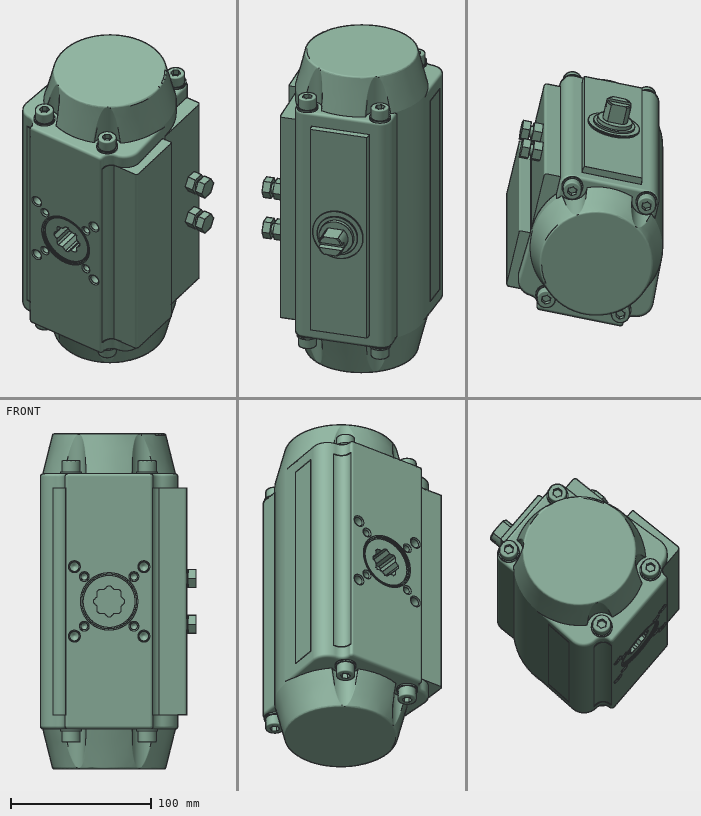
import cadquery as cq
import math


total_half_height = 119.5
cap_plate_top_z = 91.0
body_half_height = 80.9
bolt_washer_thickness = 1.3
bolt_head_height = 8.0
bolt_head_fillet = 0.8

cylinder_radius = 47.3
upper_half_width = 36.0
upper_y = 50.7
upper_corner_radius = 8.3
lower_half_width = 48.99
lower_corner_radius = 12.0
lower_corner_bottom_y = -46.9
base_half_width = 31.4
groove_radius = 7.0
body_groove_radius = 7.5
base_y = -56.3
base_edge_radius = 2.2
plate_edge_radius = 2.1

dome_top_radius = 40.2
dome_edge_radius = 1.5
bolt_x = 27.1
bolt_y = 43.1
bolt_pocket_radius = 10.6
pocket_edge_radius = 0.8
bolt_washer_diameter = 15.0
bolt_head_diameter = 13.0
bolt_socket_flats = 6.0
bolt_socket_depth = 4.0

pad_top_y = 55.7
pad_half_width = 21.6
pad_chamfer_width = 0.7
pad_chamfer_height = 2.2
shaft_top_y = 75.9
shaft_diameter = 18.0
shaft_flats = 14.0
shaft_chamfer = 0.8
shaft_slot_width = 4.0
shaft_slot_depth = 4.8
collars = [(35.5, 56.8), (37.5, 57.9), (30.0, 59.2), (25.2, 62.0)]

port_box_x = 47.6
port_box_top_y = 44.2
port_box_radius = 2.0
connection_box_x = 55.5
connection_box_top_y = -3.0
connection_box_radius = 2.0
connection_top_radius = 1.0

stop_screw_y = 32.8
stop_screw_z = 16.3
stop_screw_diameter = 8.0
stop_screw_flats = 13.0
stop_nut_end_x = 53.9
stop_head_start_x = 56.3
stop_head_end_x = 62.0

recess_steps = [(41.0, 0.6), (39.0, 1.1), (37.0, 1.7)]
star_square = 17.0
star_tip_diameter = 22.2
star_depth = 20.0
large_bolt_circle = 70.0
large_hole_diameter = 6.8
large_hole_mouth = 8.5
large_hole_depth = 12.0
small_bolt_circle = 50.0
small_hole_diameter = 5.0
small_hole_mouth = 7.0
small_hole_depth = 10.0
drill_tip_angle = 118.0

label_top_y = -10.8
label_bottom_y = -30.7
label_depth = 0.2

lower_corner_x = lower_half_width - lower_corner_radius
lower_corner_y = lower_corner_bottom_y + lower_corner_radius
groove_x = base_half_width + groove_radius
arc_lean = math.asin((groove_x - lower_corner_x) / (lower_corner_radius + groove_radius))
groove_y = lower_corner_y - (lower_corner_radius + groove_radius) * math.cos(arc_lean)
arc_meeting_x = lower_corner_x + lower_corner_radius * math.sin(arc_lean)
arc_meeting_y = lower_corner_y - lower_corner_radius * math.cos(arc_lean)


def wall_tangent_angle():
    """Angle below the X axis at which the lower side wall leaves the cylinder tangentially."""
    corner_distance = math.hypot(lower_half_width, lower_corner_y)
    corner_angle = math.atan2(-lower_corner_y, lower_half_width)
    return corner_angle - math.acos(cylinder_radius / corner_distance)


def lower_half_profile():
    """Right half of the section below the cylinder axis."""
    angle = wall_tangent_angle()
    tangent_x = cylinder_radius * math.cos(angle)
    tangent_y = -cylinder_radius * math.sin(angle)
    diagonal = math.sqrt(0.5)
    return (
        cq.Workplane("XY")
        .moveTo(0, tangent_y)
        .lineTo(tangent_x, tangent_y)
        .lineTo(lower_half_width, lower_corner_y)
        .threePointArc(
            (
                lower_corner_x + lower_corner_radius * diagonal,
                lower_corner_y - lower_corner_radius * diagonal,
            ),
            (arc_meeting_x, arc_meeting_y),
        )
        .threePointArc(
            (groove_x - groove_radius * diagonal, groove_y + groove_radius * diagonal),
            (base_half_width, groove_y),
        )
        .lineTo(base_half_width, base_y)
        .lineTo(0, base_y)
        .close()
    )


def y_cylinder(diameter, y_from, y_to):
    """Cylinder on the pinion axis between two Y positions."""
    return cq.Workplane("XZ", origin=(0, y_from, 0)).circle(diameter / 2).extrude(y_from - y_to)


def make_housing():
    """Cylinder, upper block and lower block; only the parts outside the cylinder show rounded ends."""
    half = lower_half_profile().extrude(cap_plate_top_z, both=True)
    lower = half.union(half.mirror("YZ")).clean().edges("|Z and <Y").fillet(base_edge_radius)
    upper = (
        cq.Workplane("XY")
        .center(0, upper_y / 2)
        .rect(2 * upper_half_width, upper_y)
        .extrude(cap_plate_top_z, both=True)
        .edges("|Z and >Y")
        .fillet(upper_corner_radius)
    )
    housing = cq.Workplane("XY").circle(cylinder_radius).extrude(cap_plate_top_z, both=True)
    for block in (lower, upper):
        housing = housing.union(block.faces("<Z or >Z").edges().fillet(plate_edge_radius))
    return housing


def make_body_grooves():
    """Slight widening of the two lower corner grooves along the body between the cap plates."""
    groove = (
        cq.Workplane("XY", origin=(groove_x, groove_y, 0))
        .circle(body_groove_radius)
        .extrude(body_half_height, both=True)
    )
    return groove.union(groove.mirror("YZ"))


def make_dome():
    """Conical dome on the +Z cap plate, with a scooped pocket beside each bolt."""
    height = total_half_height - cap_plate_top_z
    dome = (
        cq.Workplane("XZ")
        .lineTo(cylinder_radius, 0)
        .lineTo(dome_top_radius, height)
        .lineTo(0, height)
        .close()
        .revolve(360, (0, 0, 0), (0, 1, 0))
        .faces(">Z")
        .edges()
        .fillet(dome_edge_radius)
    )
    pockets = at_bolts(cq.Workplane("XY").circle(bolt_pocket_radius).extrude(height))
    dome = dome.cut(pockets)
    dome = dome.faces("%CONE").edges("%BSPLINE").fillet(pocket_edge_radius)
    return dome.translate((0, 0, cap_plate_top_z))


def at_bolts(shape):
    """Copies of a shape at the four bolt positions, as one workplane."""
    copies = cq.Workplane("XY")
    for x in (-bolt_x, bolt_x):
        for y in (-bolt_y, bolt_y):
            copies = copies.union(shape.translate((x, y, 0)))
    return copies


def across_corners(flats):
    return flats / math.cos(math.pi / 6)


def make_cap_bolt():
    """Socket-head bolt with its washer, standing on Z = 0."""
    washer = cq.Workplane("XY").circle(bolt_washer_diameter / 2).extrude(bolt_washer_thickness)
    top_z = bolt_washer_thickness + bolt_head_height
    head = cq.Workplane("XY").circle(bolt_head_diameter / 2).extrude(top_z)
    head = head.faces(">Z").edges().fillet(bolt_head_fillet)
    socket = (
        cq.Workplane("XY", origin=(0, 0, top_z))
        .polygon(6, across_corners(bolt_socket_flats))
        .extrude(-bolt_socket_depth)
        .rotate((0, 0, 0), (0, 0, 1), 30)
    )
    return washer.union(head).cut(socket)


def make_pad():
    """Mounting pad on the +Y side with narrow chamfers along its long edges."""
    return (
        cq.Workplane("XY")
        .moveTo(-pad_half_width, 0)
        .lineTo(-pad_half_width, pad_top_y - pad_chamfer_height)
        .lineTo(-pad_half_width + pad_chamfer_width, pad_top_y)
        .lineTo(pad_half_width - pad_chamfer_width, pad_top_y)
        .lineTo(pad_half_width, pad_top_y - pad_chamfer_height)
        .lineTo(pad_half_width, 0)
        .close()
        .extrude(body_half_height, both=True)
    )


def make_side_boxes():
    """Port box and the larger connection box on the +X side."""
    port_box = (
        cq.Workplane("XY")
        .center(port_box_x / 2, port_box_top_y / 2)
        .rect(port_box_x, port_box_top_y)
        .extrude(body_half_height, both=True)
        .edges("|Z and >X and >Y")
        .fillet(port_box_radius)
    )
    height = connection_box_top_y - lower_corner_bottom_y
    connection_box = (
        cq.Workplane("XY")
        .center(connection_box_x / 2, lower_corner_bottom_y + height / 2)
        .rect(connection_box_x, height)
        .extrude(body_half_height, both=True)
    )
    connection_box = connection_box.edges("|Z and >X and <Y").fillet(connection_box_radius)
    connection_box = connection_box.edges("|Z and >X and >Y").fillet(connection_top_radius)
    return port_box.union(connection_box)


def make_pinion():
    """Stepped collars and the flatted, slotted shaft end above the pad."""
    pinion = y_cylinder(shaft_diameter, 0, shaft_top_y).faces(">Y").edges().chamfer(shaft_chamfer)
    flats = cq.Workplane("XY").box(shaft_diameter, 2 * shaft_top_y, shaft_flats)
    slot = cq.Workplane("XY").box(shaft_diameter, 2 * shaft_slot_depth, shaft_slot_width)
    pinion = pinion.intersect(flats).cut(slot.translate((0, shaft_top_y, 0)))
    collar_base_y = 0
    for diameter, collar_top_y in collars:
        pinion = pinion.union(y_cylinder(diameter, collar_base_y, collar_top_y))
        collar_base_y = collar_top_y
    return pinion


def make_stop_screw(z):
    """Travel-stop screw along X: lock nut, exposed thread and hexagonal head."""
    plane = cq.Workplane("YZ", origin=(0, stop_screw_y, z))
    hexagon = across_corners(stop_screw_flats)
    thread = plane.circle(stop_screw_diameter / 2).extrude(stop_head_end_x)
    nut = plane.polygon(6, hexagon).extrude(stop_nut_end_x)
    head_plane = plane.workplane(offset=stop_head_start_x)
    head = head_plane.polygon(6, hexagon).extrude(stop_head_end_x - stop_head_start_x)
    return thread.union(nut).union(head)


def make_base_hole(diameter, mouth, depth, x, z):
    """Drilled blind hole in the base with a 45 degree mouth chamfer and a conical tip."""
    radius = diameter / 2
    tip = radius / math.tan(math.radians(drill_tip_angle / 2))
    chamfer = mouth / 2 - radius
    return (
        cq.Workplane("XY")
        .lineTo(mouth / 2, 0)
        .lineTo(radius, chamfer)
        .lineTo(radius, depth)
        .lineTo(0, depth + tip)
        .close()
        .revolve(360, (0, 0, 0), (0, 1, 0))
        .translate((x, base_y, z))
    )


def make_base_cuts():
    """Stepped recess around the pinion, eight-point star socket and the two bolt patterns."""
    square = cq.Workplane("XY").box(star_square, 2 * star_depth, star_square)
    star = square.union(square.rotate((0, 0, 0), (0, 1, 0), 45)).translate((0, base_y, 0))
    cuts = star.intersect(y_cylinder(star_tip_diameter, base_y, base_y + star_depth))
    for diameter, depth in recess_steps:
        cuts = cuts.union(y_cylinder(diameter, base_y, base_y + depth))
    patterns = [
        (large_bolt_circle, large_hole_diameter, large_hole_mouth, large_hole_depth),
        (small_bolt_circle, small_hole_diameter, small_hole_mouth, small_hole_depth),
    ]
    for bolt_circle, diameter, mouth, depth in patterns:
        offset = bolt_circle / 2 * math.sqrt(0.5)
        for x in (-offset, offset):
            for z in (-offset, offset):
                cuts = cuts.union(make_base_hole(diameter, mouth, depth, x, z))
    return cuts


def make_label_recess():
    """Shallow rectangular recess parallel to the slanted lower wall on the -X side."""
    angle = wall_tangent_angle()
    middle_y = (label_top_y + label_bottom_y) / 2
    wall_x = -(cylinder_radius + middle_y * math.sin(angle)) / math.cos(angle)
    recess = cq.Workplane("XY").box(2 * label_depth, label_top_y - label_bottom_y, 2 * body_half_height)
    return recess.rotate((0, 0, 0), (0, 0, 1), math.degrees(angle)).translate((wall_x, middle_y, 0))


actuator = make_housing().cut(make_body_grooves()).union(make_pad()).union(make_side_boxes()).union(make_pinion())
for screw_z in (-stop_screw_z, stop_screw_z):
    actuator = actuator.union(make_stop_screw(screw_z))
cap_bolts = at_bolts(make_cap_bolt()).translate((0, 0, cap_plate_top_z))
for cap_part in (make_dome(), cap_bolts):
    actuator = actuator.union(cap_part).union(cap_part.mirror("XY"))
result = actuator.cut(make_base_cuts()).cut(make_label_recess())